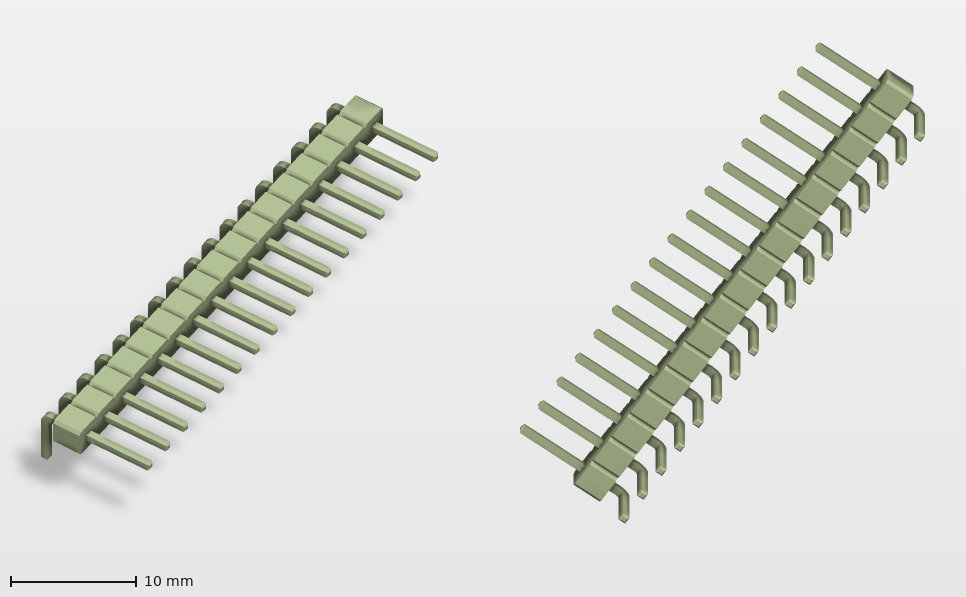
import cadquery as cq

pin_count = 17
row_length = 43.2
overall_x = 10.35
overall_z = 6.17
half_pin = 0.32
body_offset = 1.8
body_chamfer = 0.25
tip_chamfer = 0.15

pitch = row_length / pin_count
body_side = pitch
pin_width = 2 * half_pin
bend_inner_radius = half_pin
bend_outer_radius = bend_inner_radius + pin_width
body_center_x = body_offset + body_side / 2
leg_bottom_z = body_side / 2 - overall_z


def make_cell():
    """One housing cell with its four lengthwise edges chamfered."""
    cell = cq.Workplane("XY").box(body_side, pitch, body_side)
    return cell.edges("|X").chamfer(body_chamfer).translate((body_center_x, 0, 0))


def make_pin():
    """One square pin: straight contact, rounded right-angle bend and downward leg."""
    profile = (
        cq.Workplane("XZ")
        .moveTo(overall_x, half_pin)
        .lineTo(bend_outer_radius, half_pin)
        .radiusArc((0, half_pin - bend_outer_radius), -bend_outer_radius)
        .lineTo(0, leg_bottom_z)
        .lineTo(pin_width, leg_bottom_z)
        .lineTo(pin_width, half_pin - bend_outer_radius)
        .radiusArc((bend_outer_radius, -half_pin), bend_inner_radius)
        .lineTo(overall_x, -half_pin)
        .close()
    )
    pin = profile.extrude(half_pin, both=True)
    return pin.faces(">X or <Z").edges().chamfer(tip_chamfer)


cell_with_pin = make_cell().union(make_pin())

result = cell_with_pin.translate((0, (pitch - row_length) / 2, 0))
for index in range(1, pin_count):
    cell_y = (pitch - row_length) / 2 + index * pitch
    result = result.union(cell_with_pin.translate((0, cell_y, 0)))